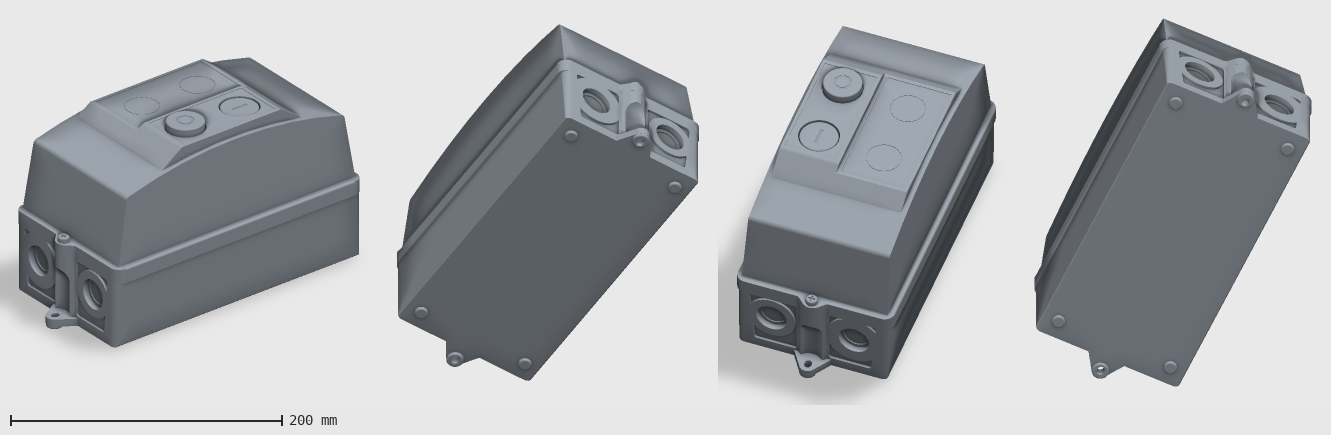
import cadquery as cq
import math


rim_length_x = 123.38
rim_length_y = 231.2
rim_corner = 8.0
wall_y = rim_length_y / 2
lip_bottom = 54.1
joint_z = 57.3
rim_top = 66.1

lug_tip_y = 123.4
lug_nose_radius = 8.5
cover_lug_root_fillet = 4.0
base_lug_root_fillet = 2.0
lug_facet_half_gap = 2.1

base_half_x_bottom = 58.3
base_half_x_top = 59.8
base_corner = 6.2
base_bottom_chamfer = 0.8

ear_hole_y = 126.095
ear_tip_radius = 6.5
ear_thickness = 6.1
ear_root_half_x = 14.6
ear_hole_diameter = 5.6
ear_slot_length = 7.0

access_radius = 11.4
access_straight_top = 34.1

foot_height = 2.5
foot_edge_fillet = 1.2
ear_foot_radius = 6.4
corner_foot_radius = 4.9
corner_foot_x = 45.6
corner_foot_y = 101.7

knockout_x = 32.4
knockout_z = 34.3
knockout_radius = 12.0
knockout_depth = 5.0
knockout_floor_radius = 9.4
knockout_floor_depth = 1.0
left_pad_radius = 21.8
right_pad_radius = 18.7
pocket_depth = 2.0
pocket_inner_x = 12.6
pocket_outer_x_top = 49.8
pocket_outer_x_bottom = 45.8
pocket_bottom = 7.8
pocket_corner = 2.5

hood_half_x_bottom = 57.35
hood_half_y_bottom = 110.95
hood_half_x_crown = 55.1
hood_half_y_top = 101.9
hood_end_height = 121.2
hood_crown = 135.9
hood_end_fillet = 3.6
hood_root_fillet = 1.2
rim_edge_fillet = 1.5

panel_half_x = 51.0
panel_step_x = 4.6
panel_slope = 0.70
left_panel_top = 138.9
left_panel_half_y = 52.6
right_panel_top = 143.2
right_panel_fillet = 5.0
panel_root = 125.0

panel_margin_x = 2.5
panel_recess_depth = 0.5
left_recess_half_y = 49.6
right_recess_half_y = 43.3

lamp_x = -23.1
lamp_y = 26.0
lamp_radius = 13.0
lamp_groove_width = 0.5
lamp_groove_depth = 0.4

screw_y = 117.6
screw_head_radius = 4.4
screw_head_height = 4.3
screw_head_fillet = 1.3
screw_slot_length = 5.4
screw_slot_width = 1.2
screw_slot_depth = 1.5

button_x = 28.0
button_y = 25.4
button_radius = 14.6
button_edge_fillet = 1.0
button_well_radius = 15.55
button_well_floor = 137.0
start_button_top = 142.2
stop_button_top = 148.67
symbol_depth = 0.4
start_bar_width = 2.3
start_bar_length = 13.5
stop_ring_outer = 6.9
stop_ring_inner = 4.8

ends = (-1, 1)


def mirrored_in_y(body):
    return body.union(body.mirror("XZ"))


def disc(x, y, z, radius, height):
    return cq.Workplane("XY").workplane(offset=z).center(x, y).circle(radius).extrude(height)


def block(x_min, x_max, y_min, y_max, z_min, z_max):
    size = (x_max - x_min, y_max - y_min, z_max - z_min)
    return cq.Workplane("XY").box(*size, centered=False).translate((x_min, y_min, z_min))


def rim(z_min, z_max):
    plate = cq.Workplane("XY").workplane(offset=z_min).rect(rim_length_x, rim_length_y)
    return plate.extrude(z_max - z_min).edges("|Z").fillet(rim_corner)


def lugs(z_min, z_max, root_fillet, faceted):
    """Screw lugs with 45 degree flanks and a round nose; a faceted nose keeps only a narrow round strip."""
    nose_y = lug_tip_y - lug_nose_radius
    tangent = lug_nose_radius * math.sin(math.pi / 4)
    root_x = tangent + (nose_y + tangent - wall_y)
    strip_y = nose_y + math.sqrt(lug_nose_radius**2 - lug_facet_half_gap**2)
    inside_y = wall_y - rim_corner
    outline = (
        cq.Workplane("XY").workplane(offset=z_min)
        .moveTo(-rim_corner - root_x, inside_y)
        .lineTo(-rim_corner - root_x, wall_y)
        .lineTo(-root_x, wall_y)
        .lineTo(-tangent, nose_y + tangent)
    )
    if faceted:
        outline = (
            outline.lineTo(-lug_facet_half_gap, strip_y)
            .threePointArc((0, lug_tip_y), (lug_facet_half_gap, strip_y))
            .lineTo(tangent, nose_y + tangent)
        )
    else:
        outline = outline.threePointArc((0, lug_tip_y), (tangent, nose_y + tangent))
    lug = (
        outline.lineTo(root_x, wall_y)
        .lineTo(rim_corner + root_x, wall_y)
        .lineTo(rim_corner + root_x, inside_y)
        .close()
        .extrude(z_max - z_min)
    )
    root = cq.selectors.BoxSelector(
        (-root_x - 1, wall_y - 1, z_min - 1), (root_x + 1, wall_y + 1, z_max + 1)
    )
    lug = lug.edges("|Z").edges(root).fillet(root_fillet)
    return mirrored_in_y(lug)


def base_box():
    """Round-cornered box trimmed by long sides that lean inwards towards the bottom."""
    box = (
        cq.Workplane("XY")
        .rect(2 * base_half_x_top, rim_length_y)
        .extrude(lip_bottom)
        .edges("|Z")
        .fillet(base_corner)
    )
    sides = (
        cq.Workplane("XZ")
        .moveTo(-base_half_x_bottom, 0)
        .lineTo(base_half_x_bottom, 0)
        .lineTo(base_half_x_top, lip_bottom)
        .lineTo(-base_half_x_top, lip_bottom)
        .close()
        .extrude(wall_y, both=True)
    )
    return box.intersect(sides).faces("<Z").edges("|Y").chamfer(base_bottom_chamfer)


def foot(x, y, radius):
    return disc(x, y, -foot_height, radius, foot_height).faces("<Z").edges().fillet(foot_edge_fillet)


def mounting_ears():
    """Triangular ears whose straight sides run tangent to a round tip, with a foot under the tip."""
    reach_y = ear_hole_y - wall_y
    distance = math.hypot(ear_root_half_x, reach_y)
    angle = math.atan2(-reach_y, ear_root_half_x) + math.acos(ear_tip_radius / distance)
    touch_x = ear_tip_radius * math.cos(angle)
    touch_y = ear_hole_y + ear_tip_radius * math.sin(angle)
    inside_y = wall_y - rim_corner
    ear = (
        cq.Workplane("XY")
        .moveTo(-ear_root_half_x, inside_y)
        .lineTo(-ear_root_half_x, wall_y)
        .lineTo(-touch_x, touch_y)
        .threePointArc((0, ear_hole_y + ear_tip_radius), (touch_x, touch_y))
        .lineTo(ear_root_half_x, wall_y)
        .lineTo(ear_root_half_x, inside_y)
        .close()
        .extrude(ear_thickness)
    )
    return mirrored_in_y(ear.union(foot(0, ear_hole_y, ear_foot_radius)))


def screwdriver_access():
    """Round channel with a hemispherical roof above each mounting hole, clear of the ear itself."""
    profile = (
        cq.Workplane("XZ")
        .moveTo(0, ear_thickness)
        .lineTo(access_radius, ear_thickness)
        .lineTo(access_radius, access_straight_top)
        .radiusArc((0, access_straight_top + access_radius), -access_radius)
        .close()
        .revolve(360, (0, 0, 0), (0, 1, 0))
    )
    return mirrored_in_y(profile.translate((0, ear_hole_y, 0)))


def mounting_slots():
    slot_y = ear_hole_y - (ear_slot_length - ear_hole_diameter) / 2
    slot = (
        cq.Workplane("XY").workplane(offset=-foot_height)
        .center(0, slot_y)
        .slot2D(ear_slot_length, ear_hole_diameter, 90)
        .extrude(foot_height + ear_thickness)
    )
    return mirrored_in_y(slot)


def end_wall_disc(x, radius, depth):
    """Disc sunk into the -Y end wall at knockout height."""
    return (
        cq.Workplane("XZ", origin=(0, -wall_y, 0))
        .center(x, knockout_z)
        .circle(radius)
        .extrude(-depth)
    )


def knockout(side, pad_radius):
    """Pocket around a raised round pad, with a stepped blind hole in the pad."""
    pocket = (
        cq.Workplane("XZ", origin=(0, -wall_y, 0))
        .moveTo(side * pocket_inner_x, pocket_bottom)
        .lineTo(side * pocket_outer_x_bottom, pocket_bottom)
        .lineTo(side * pocket_outer_x_top, lip_bottom)
        .lineTo(side * pocket_inner_x, lip_bottom)
        .close()
        .extrude(-pocket_depth)
        .edges("|Y")
        .fillet(pocket_corner)
    )
    x = side * knockout_x
    hole = end_wall_disc(x, knockout_radius, knockout_depth)
    floor = end_wall_disc(x, knockout_floor_radius, knockout_depth + knockout_floor_depth)
    return pocket.cut(end_wall_disc(x, pad_radius, pocket_depth)).union(hole).union(floor)


def make_base():
    base = base_box().union(rim(lip_bottom, joint_z))
    base = base.union(lugs(0, joint_z, base_lug_root_fillet, faceted=True))
    for side, pad_radius in ((-1, left_pad_radius), (1, right_pad_radius)):
        cutter = knockout(side, pad_radius)
        base = base.cut(cutter).cut(cutter.mirror("XZ"))
    base = base.cut(screwdriver_access()).union(mounting_ears())
    for end in ends:
        for side in (-1, 1):
            base = base.union(foot(side * corner_foot_x, end * corner_foot_y, corner_foot_radius))
    return base.cut(mounting_slots())


def hood():
    """Domed hood: an arched side outline trimmed by the drafted long sides."""
    arch = (
        cq.Workplane("YZ")
        .moveTo(-hood_half_y_bottom, rim_top)
        .lineTo(-hood_half_y_top, hood_end_height)
        .threePointArc((0, hood_crown), (hood_half_y_top, hood_end_height))
        .lineTo(hood_half_y_bottom, rim_top)
        .close()
        .extrude(hood_half_x_bottom, both=True)
        .edges("|X and (not <Z)")
        .fillet(hood_end_fillet)
    )
    sides = (
        cq.Workplane("XZ")
        .moveTo(-hood_half_x_bottom, rim_top)
        .lineTo(hood_half_x_bottom, rim_top)
        .lineTo(hood_half_x_crown, hood_crown)
        .lineTo(-hood_half_x_crown, hood_crown)
        .close()
        .extrude(hood_half_y_bottom, both=True)
    )
    return arch.intersect(sides)


def cover_rim():
    """Rim whose long top edges are rounded between the corners."""
    body = rim(joint_z, rim_top)
    length = rim_length_y - 2 * rim_corner
    for side in (-1, 1):
        edge_x = side * rim_length_x / 2
        round_x = edge_x - side * rim_edge_fillet
        round_z = rim_top - rim_edge_fillet
        diagonal = rim_edge_fillet * math.sin(math.pi / 4)
        waste = (
            cq.Workplane("XZ")
            .moveTo(round_x, rim_top)
            .threePointArc((round_x + side * diagonal, round_z + diagonal), (edge_x, round_z))
            .lineTo(edge_x, rim_top)
            .close()
            .extrude(length / 2, both=True)
        )
        body = body.cut(waste)
    return body


def panel(x_min, x_max, top_z):
    """Raised panel with sloping ends that share one plane on both panels."""
    top_half_y = left_panel_half_y - (top_z - left_panel_top) / panel_slope
    root_half_y = left_panel_half_y + (left_panel_top - panel_root) / panel_slope
    return (
        cq.Workplane("YZ", origin=(x_min, 0, 0))
        .moveTo(-root_half_y, panel_root)
        .lineTo(-top_half_y, top_z)
        .lineTo(top_half_y, top_z)
        .lineTo(root_half_y, panel_root)
        .close()
        .extrude(x_max - x_min)
    )


def panel_recess(x_min, x_max, half_y, top_z):
    return block(
        x_min + panel_margin_x, x_max - panel_margin_x, -half_y, half_y, top_z - panel_recess_depth, top_z
    )


def panels():
    left = panel(-panel_half_x, panel_step_x, left_panel_top)
    right = panel(panel_step_x, panel_half_x, right_panel_top)
    right = right.faces(">Z").edges("|X").fillet(right_panel_fillet)
    left = left.cut(panel_recess(-panel_half_x, panel_step_x, left_recess_half_y, left_panel_top))
    right = right.cut(panel_recess(panel_step_x, panel_half_x, right_recess_half_y, right_panel_top))
    return left.union(right)


def lamp_grooves():
    """Thin ring grooves marking the round fields on the left panel."""
    floor_z = left_panel_top - panel_recess_depth - lamp_groove_depth
    return (
        cq.Workplane("XY").workplane(offset=floor_z)
        .pushPoints([(lamp_x, end * lamp_y) for end in ends])
        .circle(lamp_radius + lamp_groove_width / 2)
        .circle(lamp_radius - lamp_groove_width / 2)
        .extrude(lamp_groove_depth)
    )


def screw_head(y):
    """Cross-recessed screw head, one piece with the cover."""
    head = disc(0, y, rim_top, screw_head_radius, screw_head_height).faces(">Z").fillet(screw_head_fillet)
    slots = (
        cq.Workplane("XY").workplane(offset=rim_top + screw_head_height - screw_slot_depth)
        .center(0, y)
        .rect(screw_slot_length, screw_slot_width)
        .extrude(screw_slot_depth)
    )
    return head.cut(slots).cut(slots.rotate((0, y, 0), (0, y, 1), 90))


def make_cover():
    cover = cover_rim().union(lugs(joint_z, rim_top, cover_lug_root_fillet, faceted=False))
    cover = cover.union(hood())
    hood_root = cq.selectors.BoxSelector(
        (-hood_half_x_bottom - 0.5, -hood_half_y_bottom - 0.5, rim_top - 0.1),
        (hood_half_x_bottom + 0.5, hood_half_y_bottom + 0.5, rim_top + 0.1),
    )
    cover = cover.edges(hood_root).fillet(hood_root_fillet).union(panels())
    cover = cover.cut(lamp_grooves())
    for end in ends:
        cover = cover.union(screw_head(end * screw_y))
        well_depth = right_panel_top - button_well_floor
        cover = cover.cut(disc(button_x, end * button_y, button_well_floor, button_well_radius, well_depth))
    return cover


def button_cap(y, top_z):
    cap = disc(button_x, y, button_well_floor, button_radius, top_z - button_well_floor)
    return cap.faces(">Z").edges().fillet(button_edge_fillet)


def make_start_button():
    """Flush button with an engraved bar."""
    bar = (
        cq.Workplane("XY").workplane(offset=start_button_top - symbol_depth)
        .center(button_x, button_y)
        .rect(start_bar_width, start_bar_length)
        .extrude(symbol_depth)
    )
    return button_cap(button_y, start_button_top).cut(bar)


def make_stop_button():
    """Projecting button with an engraved ring."""
    ring = (
        cq.Workplane("XY").workplane(offset=stop_button_top - symbol_depth)
        .center(button_x, -button_y)
        .circle(stop_ring_outer)
        .circle(stop_ring_inner)
        .extrude(symbol_depth)
    )
    return button_cap(-button_y, stop_button_top).cut(ring)


base = make_base()
cover = make_cover()
start_button = make_start_button()
stop_button = make_stop_button()

result = cq.Compound.makeCompound([base.val(), cover.val(), start_button.val(), stop_button.val()])